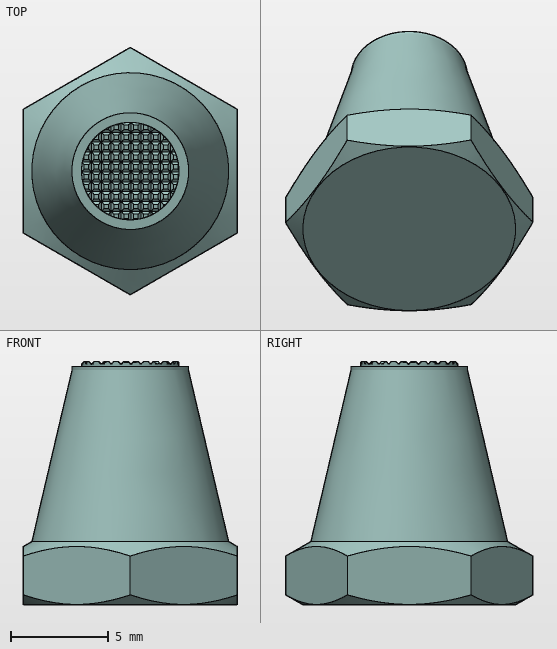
import cadquery as cq
import math

across_corners = 12.7
across_flats = across_corners * math.cos(math.radians(30))
flat_radius = across_flats / 2
corner_radius = across_corners / 2
corner_slope = math.tan(math.radians(30))
trim_margin = 0.13
shoulder_height = 3.0
lower_face_radius = 5.46

body_bottom_radius = 5.05
body_top_radius = 3.0
body_top = 12.24
rim_height = 0.2

overall_height = 12.5
pad_radius = 2.5
groove_pitch = 0.51
groove_depth = 0.14
groove_width = 2 * groove_depth
grid_offset = 0.04

body_bottom = shoulder_height + (flat_radius - body_bottom_radius) * corner_slope


def revolve_profile(points):
    """Revolve a closed (radius, height) outline around the Z axis."""
    return cq.Workplane("XZ").polyline(points).close().revolve(360, (0, 0), (0, 1))


def make_hex_base():
    """Hexagon with corners on Y, trimmed by a cone above and a cone below."""
    hexagon = (
        cq.Workplane("XY")
        .polygon(6, across_corners)
        .extrude(body_bottom)
        .rotate((0, 0, 0), (0, 0, 1), 30)
    )
    reach = corner_radius + trim_margin
    trim = revolve_profile([
        (0, 0),
        (lower_face_radius, 0),
        (reach, (reach - lower_face_radius) * corner_slope),
        (reach, body_bottom - (reach - body_bottom_radius) * corner_slope),
        (body_bottom_radius, body_bottom),
        (0, body_bottom),
    ])
    return hexagon.intersect(trim)


def make_body():
    """Tapered body ending in a short straight rim, with the plain pad disc on top."""
    return revolve_profile([
        (0, body_bottom),
        (body_bottom_radius, body_bottom),
        (body_top_radius, body_top - rim_height),
        (body_top_radius, body_top),
        (pad_radius, body_top),
        (pad_radius, overall_height),
        (0, overall_height),
    ])


def make_grooves(plane, grid_center):
    """Parallel V grooves across the pad, running along the normal of the given plane."""
    side_count = math.ceil(pad_radius / groove_pitch)
    groove_floor = overall_height - groove_depth
    grooves = cq.Workplane(plane)
    for index in range(-side_count, side_count + 1):
        center = grid_center + index * groove_pitch
        grooves = (
            grooves.moveTo(center - groove_width / 2, overall_height)
            .lineTo(center, groove_floor)
            .lineTo(center + groove_width / 2, overall_height)
            .close()
        )
    return grooves.extrude(body_top_radius, both=True)


result = (
    make_hex_base()
    .union(make_body())
    .cut(make_grooves("XZ", grid_offset))
    .cut(make_grooves("YZ", -grid_offset))
)